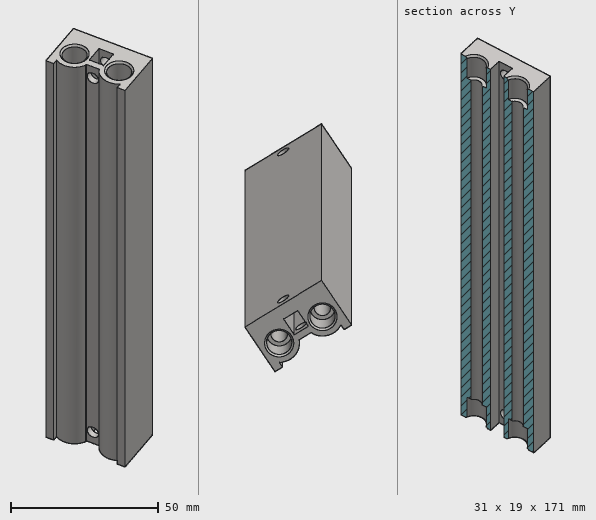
import cadquery as cq


width = 31.0
depth = 19.0
length = 171.0
front_y = -depth / 2
bottom_z = -length / 2

leg_width = 3.0
port_offset_x = 8.7
port_y = front_y + 7.9
lobe_diameter = 13.9
web_half_width = 2.5
web_y = front_y + 5.1

port_diameter = 5.6
counterbore_diameter = 8.5
counterbore_depth = 10.0
counterbore_chamfer = 0.7

channel_width = 5.6
channel_depth = 6.7
channel_y = front_y + 11.0

mounting_diameter = 4.5
mounting_end_distance = 5.1


def upright_block(size_x, size_y, center_x, center_y):
    """Full-length block at a given place in the cross-section."""
    return cq.Workplane("XY").box(size_x, size_y, length).translate((center_x, center_y, 0))


def port_cutter(x):
    """Through bore with a chamfered counterbore at both ends, as half a section turned about its axis."""
    bore_radius = port_diameter / 2
    counterbore_radius = counterbore_diameter / 2
    mouth_radius = counterbore_radius + counterbore_chamfer
    half_length = length / 2
    chamfer_z = half_length - counterbore_chamfer
    shoulder_z = half_length - counterbore_depth
    upper_half = [
        (0, half_length),
        (mouth_radius, half_length),
        (counterbore_radius, chamfer_z),
        (counterbore_radius, shoulder_z),
        (bore_radius, shoulder_z),
    ]
    lower_half = [(r, -z) for r, z in reversed(upper_half)]
    return (
        cq.Workplane("XZ")
        .polyline(upper_half + lower_half)
        .close()
        .revolve(360, (0, 0), (0, 1))
        .translate((x, port_y, 0))
    )


recess_width = width - 2 * leg_width
recess_depth = web_y - front_y
body = upright_block(width, depth, 0, 0)
body = body.cut(upright_block(recess_width, recess_depth, 0, (web_y + front_y) / 2))

lobe_span = recess_width / 2 - web_half_width
lobe_center_x = web_half_width + lobe_span / 2
for side in (-1, 1):
    lobe = (
        cq.Workplane("XY", origin=(side * port_offset_x, port_y, bottom_z))
        .circle(lobe_diameter / 2)
        .extrude(length)
    )
    lobe_limits = upright_block(lobe_span, recess_depth, side * lobe_center_x, (web_y + front_y) / 2)
    body = body.union(lobe.intersect(lobe_limits))

for side in (-1, 1):
    body = body.cut(port_cutter(side * port_offset_x))

body = body.cut(upright_block(channel_width, channel_depth, 0, channel_y))

mounting_z = length / 2 - mounting_end_distance
mounting_holes = (
    cq.Workplane("XZ")
    .pushPoints([(0, -mounting_z), (0, mounting_z)])
    .circle(mounting_diameter / 2)
    .extrude(depth, both=True)
)
result = body.cut(mounting_holes)